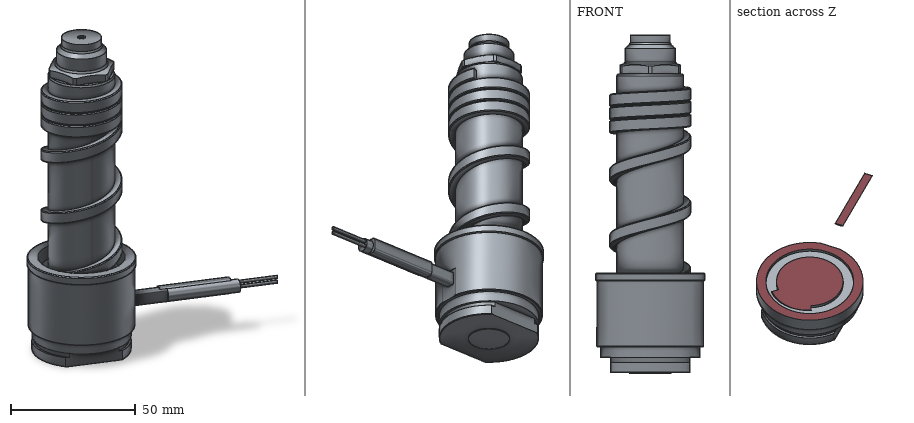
import cadquery as cq
import math

height = 136.3
depth = 105.5

foot_radius = 8.3
foot_height = 0.4
flange_radius = 20.0
flange_chamfer = 0.3
groove_bottom = 4.5
groove_radius = 19.1
flat_to_flat = 31.9
step_bottom = 6.5

housing_bottom = 10.8
housing_radius = 21.5
housing_chamfer = 0.34
collar_diameter = 44.0
collar_radius = collar_diameter / 2
collar_bottom = 37.2
collar_top = 40.6
collar_chamfer = 0.4
bore_radius = 17.6
cable_flat_y = 21.1
cable_flat_top = 23.5

tube_radius = 13.5
tube_top = 120.6
tube_chamfer_width = 0.4
tube_chamfer_height = 0.8
nut_across_flats = 24.3
nut_sides = 6
nut_corner_radius = 13.6
nut_bottom = 120.9
nut_neck_radius = 11.6
nut_top = 124.7
nut_crown_radius = 10.8
nut_crown_height = 1.0
nose_flare_top = 125.5
nose_radius = 10.1
nose_cone_bottom = 130.8
nose_cone_top = 132.5
neck_radius = 8.5
tip_bottom = 133.3
tip_radius = 8.0
pin_hole_radius = 1.6
pin_hole_depth = 1.6
pin_recess = 0.3

spring_radius = 16.4
wire_height = 4.9
wire_chamfer = 0.4
wire_overlap = 0.4
close_pitch = 5.3
open_pitch = 26.5
top_end_angle = 118.0
top_end_z = 114.4
close_turns = 3 + 1 / 6
open_turns = 2 + 3 / 8

cable_z = 19.4
cable_x = -0.89
cable_width = 3.8
cable_height = 5.6
cable_fillet = 0.7
cable_root_y = 19.1
grip_x = -1.5
grip_width = 4.2
grip_height = 6.4
grip_fillet = 1.2
grip_start_y = 33.3
grip_end_y = 63.4
sleeve_radius = 2.7
sleeve_start_y = 36.1
sleeve_end_y = 66.7
lead_x = -1.3
lead_radius = 0.7
lead_spacing = 2.0
lead_end_y = depth - collar_radius

close_height = close_turns * close_pitch
open_height = open_turns * open_pitch
lower_end_z = top_end_z - 2 * close_height - open_height
cup_floor = lower_end_z - wire_height / 2


def disc(radius, bottom, top):
    return cq.Workplane("XY").workplane(offset=bottom).circle(radius).extrude(top - bottom)


def make_base():
    flange = disc(flange_radius, foot_height, groove_bottom).faces("<Z").chamfer(flange_chamfer)
    base = flange.union(disc(groove_radius, groove_bottom, step_bottom))
    flats = cq.Workplane("XY").rect(flat_to_flat, 2 * flange_radius).extrude(step_bottom)
    base = base.intersect(flats)
    base = base.union(disc(foot_radius, 0, foot_height))
    return base.union(disc(flange_radius, step_bottom, housing_bottom))


def make_housing():
    """Cup with a collar, flattened below and around the cable outlet."""
    body = disc(housing_radius, housing_bottom, collar_bottom).faces("<Z").chamfer(housing_chamfer)
    flat_cut = (
        cq.Workplane("XY")
        .workplane(offset=housing_bottom)
        .center(0, cable_flat_y + housing_radius / 2)
        .rect(2 * housing_radius, housing_radius)
        .extrude(cable_flat_top - housing_bottom)
    )
    collar = disc(collar_radius, collar_bottom, collar_top).faces("<Z or >Z").chamfer(collar_chamfer)
    return body.cut(flat_cut).union(collar).cut(disc(bore_radius, cup_floor, collar_top))


def make_tube_and_nose():
    """Turned body from the housing to the tip, which holds a pointed pin in a small hole."""
    return (
        cq.Workplane("XZ")
        .moveTo(0, housing_bottom)
        .lineTo(tube_radius, housing_bottom)
        .lineTo(tube_radius, tube_top - tube_chamfer_height)
        .lineTo(tube_radius - tube_chamfer_width, tube_top)
        .lineTo(nut_neck_radius, tube_top)
        .lineTo(nut_neck_radius, nut_bottom)
        .lineTo(nut_crown_radius, nut_bottom)
        .lineTo(nut_crown_radius, nut_top)
        .lineTo(nose_radius, nose_flare_top)
        .lineTo(nose_radius, nose_cone_bottom)
        .lineTo(neck_radius, nose_cone_top)
        .lineTo(tip_radius, tip_bottom)
        .lineTo(tip_radius, height)
        .lineTo(pin_hole_radius, height)
        .lineTo(pin_hole_radius, height - pin_hole_depth)
        .lineTo(0, height - pin_recess)
        .close()
        .revolve()
    )


def make_nut():
    """Hexagon with flats across X, its corners rounded and its top crowned."""
    across_corners = nut_across_flats / math.cos(math.pi / nut_sides)
    hexagon = (
        cq.Workplane("XY")
        .workplane(offset=nut_bottom)
        .polygon(nut_sides, across_corners)
        .extrude(nut_top - nut_bottom)
        .rotate((0, 0, 0), (0, 0, 1), 180 / nut_sides)
    )
    crown = (
        cq.Workplane("XZ")
        .moveTo(0, nut_bottom)
        .lineTo(nut_corner_radius, nut_bottom)
        .lineTo(nut_corner_radius, nut_top - nut_crown_height)
        .lineTo(nut_crown_radius, nut_top)
        .lineTo(0, nut_top)
        .close()
        .revolve()
    )
    return hexagon.intersect(crown)


def make_coils(pitch, turns, start_z, start_angle):
    """Right-handed coils rising from a wire centre at start_z."""
    inner = tube_radius - wire_overlap
    half = wire_height / 2
    path = cq.Wire.makeHelix(pitch, pitch * turns, spring_radius)
    coils = (
        cq.Workplane("XZ")
        .moveTo(inner, -half)
        .lineTo(spring_radius - wire_chamfer, -half)
        .lineTo(spring_radius, wire_chamfer - half)
        .lineTo(spring_radius, half - wire_chamfer)
        .lineTo(spring_radius - wire_chamfer, half)
        .lineTo(inner, half)
        .close()
        .sweep(path, isFrenet=True)
    )
    return coils.rotate((0, 0, 0), (0, 0, 1), start_angle).translate((0, 0, start_z))


def make_spring():
    upper_change_z = top_end_z - close_height
    upper_change_angle = top_end_angle - 360 * close_turns
    lower_change_z = upper_change_z - open_height
    lower_change_angle = upper_change_angle - 360 * open_turns
    lower_end_angle = lower_change_angle - 360 * close_turns
    upper = make_coils(close_pitch, close_turns, upper_change_z, upper_change_angle)
    middle = make_coils(open_pitch, open_turns, lower_change_z, lower_change_angle)
    lower = make_coils(close_pitch, close_turns, lower_end_z, lower_end_angle)
    return upper.union(middle).union(lower)


def bar_along_y(x, width, bar_height, fillet, start_y, end_y):
    length = end_y - start_y
    bar = cq.Workplane("XY").box(width, length, bar_height).edges("|Y").fillet(fillet)
    return bar.translate((x, start_y + length / 2, cable_z))


def rod_along_y(x, z, radius, start_y, end_y):
    return cq.Workplane(cq.Solid.makeCylinder(
        radius, end_y - start_y, cq.Vector(x, start_y, z), cq.Vector(0, 1, 0)
    ))


def make_cable():
    cable = bar_along_y(cable_x, cable_width, cable_height, cable_fillet, cable_root_y, sleeve_start_y)
    cable = cable.union(bar_along_y(grip_x, grip_width, grip_height, grip_fillet, grip_start_y, grip_end_y))
    cable = cable.union(rod_along_y(0, cable_z, sleeve_radius, sleeve_start_y, sleeve_end_y))
    for side in (-1, 1):
        lead_z = cable_z + side * lead_spacing / 2
        cable = cable.union(rod_along_y(lead_x, lead_z, lead_radius, grip_end_y, lead_end_y))
    return cable


result = make_base().union(make_housing()).union(make_tube_and_nose()).union(make_nut())
result = result.union(make_spring()).union(make_cable())